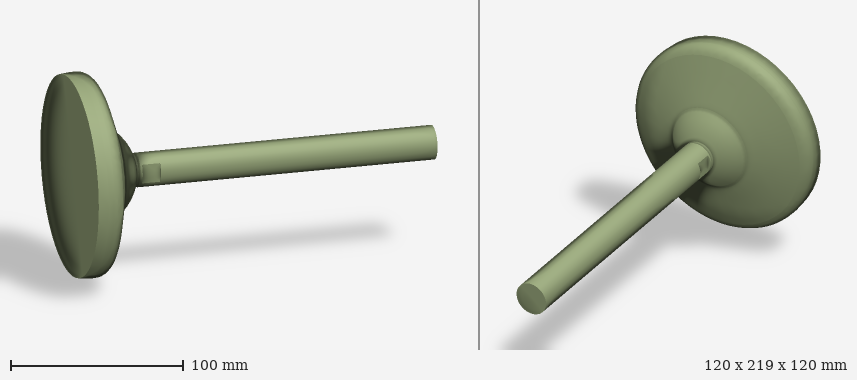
import cadquery as cq
import math

overall_length = 219.0

base_radius = 60.0
underside_radius = 59.3
draft_height = 6.0
shoulder_height = 14.5
shoulder_fillet = 7.2
dome_radius = 31.5
dome_center_height = 7.9
dome_foot_radius = 25.2
dome_foot_fillet = 3.3

stem_radius = 10.0
joint_height = 39.5
joint_chamfer = 0.7
flat_spacing = 16.6
flat_bottom = 41.2
flat_top = 52.1


def dome_height(radius):
    """Height of the dome surface at a given distance from the axis."""
    return dome_center_height + math.sqrt(dome_radius**2 - radius**2)


def circle_at(body, radius, height):
    """The circular edge of a turned body with this radius and height."""
    margin = 0.1
    return body.edges(
        cq.selectors.BoxSelector(
            (-radius - margin, height - margin, -radius - margin),
            (radius + margin, height + margin, radius + margin),
            boundingbox=True,
        )
    ).edges("%CIRCLE")


def make_base():
    collar_bottom = dome_height(stem_radius)
    dome_foot_height = dome_height(dome_foot_radius)
    dome_middle_radius = (stem_radius + dome_foot_radius) / 2
    base = (
        cq.Workplane("XY")
        .lineTo(underside_radius, 0)
        .lineTo(base_radius, draft_height)
        .lineTo(base_radius, shoulder_height)
        .lineTo(dome_foot_radius, dome_foot_height)
        .threePointArc(
            (dome_middle_radius, dome_height(dome_middle_radius)),
            (stem_radius, collar_bottom),
        )
        .lineTo(stem_radius, joint_height - joint_chamfer)
        .lineTo(stem_radius - joint_chamfer, joint_height)
        .lineTo(0, joint_height)
        .close()
        .revolve(360, (0, 0, 0), (0, 1, 0))
    )
    base = circle_at(base, base_radius, shoulder_height).fillet(shoulder_fillet)
    return circle_at(base, dome_foot_radius, dome_foot_height).fillet(dome_foot_fillet)


def make_stem():
    stem = (
        cq.Workplane("XY")
        .moveTo(0, joint_height)
        .lineTo(stem_radius - joint_chamfer, joint_height)
        .lineTo(stem_radius, joint_height + joint_chamfer)
        .lineTo(stem_radius, overall_length)
        .lineTo(0, overall_length)
        .close()
        .revolve(360, (0, 0, 0), (0, 1, 0))
    )
    flat_length = flat_top - flat_bottom
    flat_middle = (flat_bottom + flat_top) / 2
    for side in (-1, 1):
        cutter = cq.Workplane("XY").box(stem_radius, flat_length, 2 * stem_radius)
        cutter_x = side * (flat_spacing + stem_radius) / 2
        stem = stem.cut(cutter.translate((cutter_x, flat_middle, 0)))
    return stem


base = make_base()
stem = make_stem()

result = cq.Compound.makeCompound([base.solids().val(), stem.solids().val()])